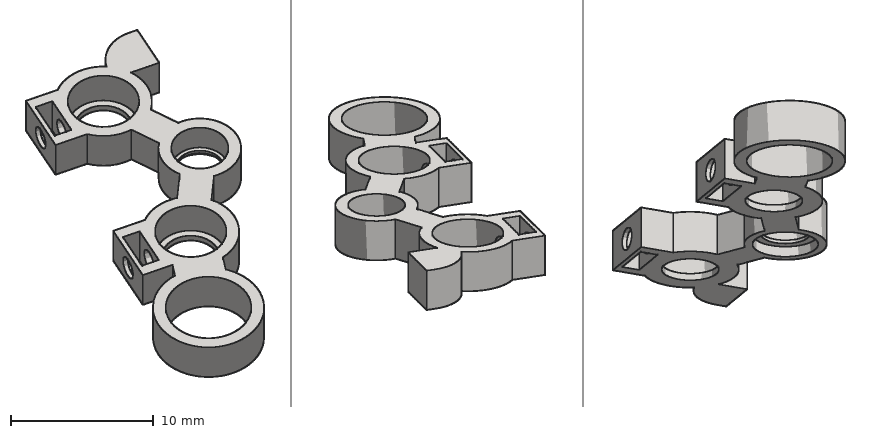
import cadquery as cq
import math

thickness = 3.0
wall = 0.9

side_bore_d = 5.0
side_through_d = 4.0
side_bore_depth = 2.5
middle_bore_d = 4.0
middle_through_d = 3.4
middle_bore_depth = 2.0
middle_lip = 0.25
middle_underside_d = 4.6
ring_bore_d = 6.0

socket_spacing = 14.1
middle_rise = 4.1
ring_offset_x = 7.24
ring_drop = 2.1
left_socket = (0.0, 0.0)
middle_socket = (socket_spacing / 2, middle_rise)
right_socket = (socket_spacing, 0.0)
end_ring = (socket_spacing + ring_offset_x, -ring_drop)

arm_width = 2.4
ring_link_width = 3.6

block_width = 4.8
block_front = 4.88
nut_slot_width = 3.1
nut_slot_length = 1.3
nut_slot_wall = 0.35
screw_d = 1.6

tab_radius = middle_bore_d / 2 + wall
tab_centre = (-2.35, 4.5)
tab_edge = 0.66


def cylinder(centre, diameter, height=thickness, bottom=0.0):
    """Upright cylinder, full thickness unless a height is given."""
    return cq.Workplane("XY", origin=(*centre, bottom)).circle(diameter / 2).extrude(height)


def link(start, end, width):
    """Straight bar between two ring centres."""
    dx = end[0] - start[0]
    dy = end[1] - start[1]
    bar = cq.Workplane("XY").rect(math.hypot(dx, dy), width).extrude(thickness)
    bar = bar.rotate((0, 0, 0), (0, 0, 1), math.degrees(math.atan2(dy, dx)))
    return bar.translate(((start[0] + end[0]) / 2, (start[1] + end[1]) / 2, 0))


def box(x_min, x_max, y_min, y_max):
    """Full-thickness block between the given limits."""
    corner = cq.Workplane("XY", origin=(x_min, y_min, 0))
    return corner.box(x_max - x_min, y_max - y_min, thickness, centered=False)


def screw_block(socket):
    """Block from the socket's axis to the front face."""
    x, y = socket
    return box(x - block_width / 2, x + block_width / 2, y - block_front, y)


def nut_slot(socket):
    """Vertical slot that crosses the screw hole."""
    x, y = socket
    front = y - block_front + nut_slot_wall
    return box(x - nut_slot_width / 2, x + nut_slot_width / 2, front, front + nut_slot_length)


def screw_hole(socket):
    """Hole from the front face of the block, through the nut slot, into the bore."""
    x, y = socket
    front_face = cq.Workplane("XZ", origin=(x, y - block_front, thickness / 2))
    return front_face.circle(screw_d / 2).extrude(-block_front)


def tab():
    """Plate with square corners except for one quarter-round corner at its outer front."""
    x, y = tab_centre
    left = x - tab_radius
    right = x + tab_edge
    front = y - tab_radius
    back = y + tab_edge
    diagonal = tab_radius * math.sqrt(0.5)
    outline = (
        cq.Workplane("XY")
        .moveTo(left, back)
        .lineTo(left, y)
        .threePointArc((x - diagonal, y - diagonal), (x, front))
        .lineTo(right, front)
        .lineTo(right, back)
        .close()
    )
    return outline.extrude(thickness)


def stepped_bore(socket, bore_d, through_d, depth):
    """Bore from the top face with a smaller through hole below it."""
    bore = cylinder(socket, bore_d, depth, thickness - depth)
    return bore.union(cylinder(socket, through_d))


body = tab()
for centre, bore_d in (
    (left_socket, side_bore_d),
    (middle_socket, middle_bore_d),
    (right_socket, side_bore_d),
    (end_ring, ring_bore_d),
):
    body = body.union(cylinder(centre, bore_d + 2 * wall))
for start, end, width in (
    (left_socket, middle_socket, arm_width),
    (middle_socket, right_socket, arm_width),
    (right_socket, end_ring, ring_link_width),
):
    body = body.union(link(start, end, width))
for socket in (left_socket, right_socket):
    body = body.union(screw_block(socket))

for socket in (left_socket, right_socket):
    body = body.cut(stepped_bore(socket, side_bore_d, side_through_d, side_bore_depth))
    body = body.cut(nut_slot(socket))
    body = body.cut(screw_hole(socket))
body = body.cut(stepped_bore(middle_socket, middle_bore_d, middle_through_d, middle_bore_depth))
underside_depth = thickness - middle_bore_depth - middle_lip
body = body.cut(cylinder(middle_socket, middle_underside_d, underside_depth))
body = body.cut(cylinder(end_ring, ring_bore_d))

result = body